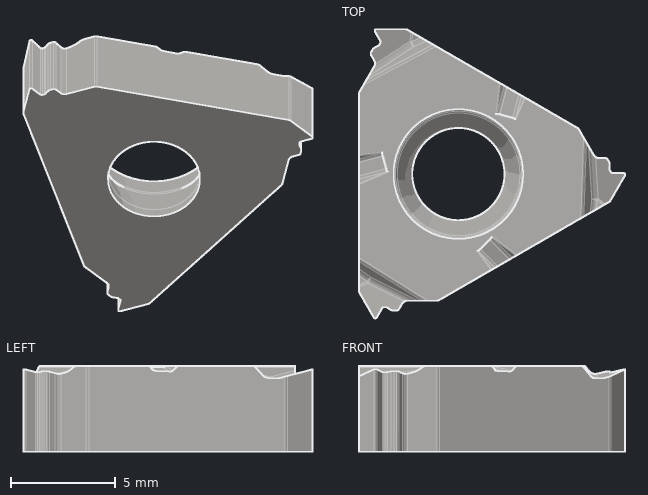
import cadquery as cq
import math

CORNERS = 3
TURN = 360 / CORNERS
THICKNESS = 4.11
SIDE_DISTANCE = 4.76
RELIEF_DISTANCE = 6.06
FLANK_DISTANCE = 6.93
FLANK_ANGLE = 60

TIP_X = -3.97
TIP_RADIUS = 0.08
VALLEY_Y = -6.36
VALLEY_END_X = -3.43
VALLEY_RADIUS = 0.1
CREST_Y = -6.53
CREST_START_X = -3.17
CREST_END_X = -2.88
CREST_START_RADIUS = 0.26
CREST_END_RADIUS = 0.14
ROOT_RADIUS = 0.28
SIDE_RADIUS = 0.25

BORE_RADIUS = 4.4 / 2
BORE_TOP_Z = 0.57
FLARE_RADIUS = 2.93
FLARE_TOP_Z = 2.85
MOUTH_BASE_RADIUS = 3.01
MOUTH_BASE_Z = 3.1
MOUTH_RADIUS = 3.1

BREAKER_LOW_POINT = (-4.15, -5.08, 3.46)
WALL_HEADING = -122
WALL_SLOPE = 52
RAKE_HEADING = 90
RAKE_SLOPE = 15
STEP_HEADING = 0
STEP_SLOPE = 6
BREAKER_BLEND = 0.3
BREAKER_LIP = 0.18
BREAKER_SIZE = 8.3

NOTCH_Y = 0.25
NOTCH_DEPTH = 0.26
NOTCH_HEADING = 15
NOTCH_RISE = 8.5
NOTCH_LENGTH = 1.27
NOTCH_OVERRUN = 0.55
NOTCH_HALF_WIDTH = 0.4
NOTCH_HEIGHT = 0.69
NOTCH_BLEND = 0.21
NOTCH_LIP = 0.05


def rotate_point(x, y, degrees):
    angle = math.radians(degrees)
    return (x * math.cos(angle) - y * math.sin(angle), x * math.sin(angle) + y * math.cos(angle))


def corner_vertices():
    """Sharp vertices (x, y, blend radius) of one corner, ordered counter-clockwise."""
    steep = math.tan(math.radians(FLANK_ANGLE))
    flank_sin = math.sin(math.radians(FLANK_ANGLE))
    flank_cos = math.cos(math.radians(FLANK_ANGLE))
    flank_start_y = -(FLANK_DISTANCE - SIDE_DISTANCE * flank_sin) / flank_cos
    tip_y = -(FLANK_DISTANCE + TIP_X * flank_sin) / flank_cos
    valley_start_x = TIP_X + (VALLEY_Y - tip_y) / steep
    root_x = CREST_END_X + (-RELIEF_DISTANCE - CREST_Y) / steep
    relief_end_x = (SIDE_DISTANCE - RELIEF_DISTANCE * flank_sin) / flank_cos
    return [
        (-SIDE_DISTANCE, flank_start_y, SIDE_RADIUS),
        (TIP_X, tip_y, TIP_RADIUS),
        (valley_start_x, VALLEY_Y, VALLEY_RADIUS),
        (VALLEY_END_X, VALLEY_Y, VALLEY_RADIUS),
        (CREST_START_X, CREST_Y, CREST_START_RADIUS),
        (CREST_END_X, CREST_Y, CREST_END_RADIUS),
        (root_x, -RELIEF_DISTANCE, ROOT_RADIUS),
        (relief_end_x, -RELIEF_DISTANCE, SIDE_RADIUS),
    ]


def blend_points(before, vertex, after, radius):
    """Start, middle and end of the arc that rounds a vertex."""
    corner = cq.Vector(*vertex)
    to_before = (cq.Vector(*before) - corner).normalized()
    to_after = (cq.Vector(*after) - corner).normalized()
    half_angle = to_before.getAngle(to_after) / 2
    setback = radius / math.tan(half_angle)
    middle_gap = radius / math.sin(half_angle) - radius
    middle = corner + (to_before + to_after).normalized() * middle_gap
    return corner + to_before * setback, middle, corner + to_after * setback


def insert_blank():
    """Full-thickness prism with all three toothed corners."""
    vertices = []
    for index in range(CORNERS):
        for x, y, radius in corner_vertices():
            vertices.append((rotate_point(x, y, TURN * index), radius))
    arcs = []
    for index, (point, radius) in enumerate(vertices):
        before = vertices[index - 1][0]
        after = vertices[(index + 1) % len(vertices)][0]
        arcs.append(blend_points(before, point, after, radius))
    last_end = arcs[-1][2]
    outline = cq.Workplane("XY").moveTo(last_end.x, last_end.y)
    for start, middle, end in arcs:
        outline = outline.lineTo(start.x, start.y).threePointArc((middle.x, middle.y), (end.x, end.y))
    return outline.close().extrude(THICKNESS)


def bore_cutter():
    """Straight bore that flares out to a slightly tapered mouth at the top."""
    return (
        cq.Workplane("XZ")
        .moveTo(0, 0)
        .lineTo(BORE_RADIUS, 0)
        .lineTo(BORE_RADIUS, BORE_TOP_Z)
        .tangentArcPoint((FLARE_RADIUS, FLARE_TOP_Z), relative=False)
        .tangentArcPoint((MOUTH_BASE_RADIUS, MOUTH_BASE_Z), relative=False)
        .lineTo(MOUTH_RADIUS, THICKNESS)
        .lineTo(0, THICKNESS)
        .close()
        .revolve(360, (0, 0, 0), (0, 1, 0))
    )


def space_above(heading, slope):
    """Large block above a plane through the low point that faces `heading` in plan."""
    lean = math.sin(math.radians(slope))
    x, y = rotate_point(lean, 0, heading)
    plane = cq.Plane(BREAKER_LOW_POINT, normal=(x, y, math.cos(math.radians(slope))))
    return cq.Workplane(plane).rect(2 * BREAKER_SIZE, 2 * BREAKER_SIZE).extrude(BREAKER_SIZE)


def breaker_cutter():
    """Space above the wall, rake and step planes, with their meeting edges blended."""
    cutter = space_above(WALL_HEADING, WALL_SLOPE)
    cutter = cutter.intersect(space_above(RAKE_HEADING, RAKE_SLOPE))
    cutter = cutter.intersect(space_above(STEP_HEADING, STEP_SLOPE))
    low_point = cutter.vertices(cq.NearestToPointSelector(BREAKER_LOW_POINT))
    return low_point.ancestors("Edge").fillet(BREAKER_BLEND)


def notch_cutter():
    """Leaning-walled channel that runs in from the -X side and climbs out of the top."""
    level = math.cos(math.radians(NOTCH_RISE))
    x, y = rotate_point(level, 0, NOTCH_HEADING)
    along = cq.Vector(x, y, math.sin(math.radians(NOTCH_RISE)))
    across = cq.Vector(*rotate_point(0, 1, NOTCH_HEADING))
    mouth = cq.Vector(-SIDE_DISTANCE, NOTCH_Y, THICKNESS - NOTCH_DEPTH)
    plane = cq.Plane(mouth - along * NOTCH_OVERRUN, xDir=across, normal=along)
    top_half_width = NOTCH_HALF_WIDTH + NOTCH_HEIGHT
    profile = cq.Workplane(plane).polyline([
        (-NOTCH_HALF_WIDTH, 0),
        (NOTCH_HALF_WIDTH, 0),
        (top_half_width, NOTCH_HEIGHT),
        (-top_half_width, NOTCH_HEIGHT),
    ])
    prism = profile.close().extrude(NOTCH_OVERRUN + NOTCH_LENGTH)
    bottom = prism.faces(cq.ParallelDirSelector(plane.yDir)).faces("<Z")
    floor_edges = bottom.edges(cq.ParallelDirSelector(along))
    return floor_edges.fillet(NOTCH_BLEND)


def add_breaker(body, cutter):
    """Cut the breaker of the corner pointing to -X, -Y and round its upper lip."""
    body = body.cut(cutter)
    along_wall = cq.Vector(*rotate_point(1, 0, WALL_HEADING + 90))
    lip = body.faces(">Z").edges(cq.ParallelDirSelector(along_wall))
    return lip.fillet(BREAKER_LIP)


def add_notch(body, cutter):
    """Cut the notch of the -X side and round its upper lip."""
    body = body.cut(cutter)
    reach = NOTCH_LENGTH + NOTCH_HALF_WIDTH
    inside_side = -SIDE_DISTANCE + NOTCH_LIP / 2
    notch_box = cq.selectors.BoxSelector(
        (inside_side, NOTCH_Y - reach, 0),
        (inside_side + reach, NOTCH_Y + reach, 2 * THICKNESS),
    )
    lip = body.faces(">Z").edges(notch_box)
    return lip.fillet(NOTCH_LIP)


breaker = breaker_cutter()
notch = notch_cutter()
body = insert_blank().cut(bore_cutter())
for _ in range(CORNERS):
    body = add_breaker(body, breaker)
    body = add_notch(body, notch)
    body = body.rotate((0, 0, 0), (0, 0, 1), TURN)

result = body